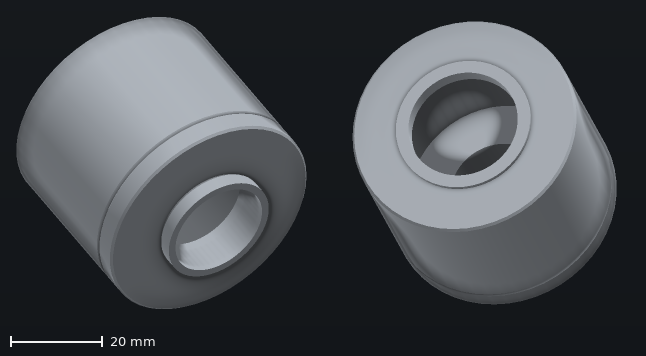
import cadquery as cq


outer_diameter = 50
edge_chamfer = 0.5
boss_diameter = 30
boss_height = 1
end_wall_thickness = 2.5
entry_diameter = 24.4
chamber_diameter = 40
housing_length = 35
chamber_start = boss_height + end_wall_thickness
housing_end = boss_height + housing_length

cover_thickness = 5.4
cover_end = housing_end + cover_thickness

sleeve_bore = 22
sleeve_diameter = 24.5
collar_diameter = 25.4
collar_gap = 0.75
collar_start = cover_end + collar_gap
overall_length = 45.35


def cylinder(diameter, start, end):
    """Solid cylinder along X from start to end."""
    return cq.Workplane("YZ", origin=(start, 0, 0)).circle(diameter / 2).extrude(end - start)


def chamfered_cylinder(diameter, start, end):
    """Cylinder along X with both rims chamfered."""
    return cylinder(diameter, start, end).edges().chamfer(edge_chamfer)


def make_housing():
    shell = chamfered_cylinder(outer_diameter, boss_height, housing_end)
    boss = cylinder(boss_diameter, 0, chamber_start)
    entry_hole = cylinder(entry_diameter, 0, chamber_start)
    chamber = cylinder(chamber_diameter, chamber_start, housing_end)
    return shell.union(boss).cut(entry_hole).cut(chamber)


def make_cover():
    disc = chamfered_cylinder(outer_diameter, housing_end, cover_end)
    return disc.cut(cylinder(sleeve_diameter, housing_end, cover_end))


def make_sleeve():
    neck = cylinder(sleeve_diameter, housing_end, collar_start)
    collar = cylinder(collar_diameter, collar_start, overall_length)
    bore = cylinder(sleeve_bore, housing_end, overall_length)
    return neck.union(collar).cut(bore)


housing = make_housing()
cover = make_cover()
sleeve = make_sleeve()

result = cq.Compound.makeCompound([housing.val(), cover.val(), sleeve.val()])